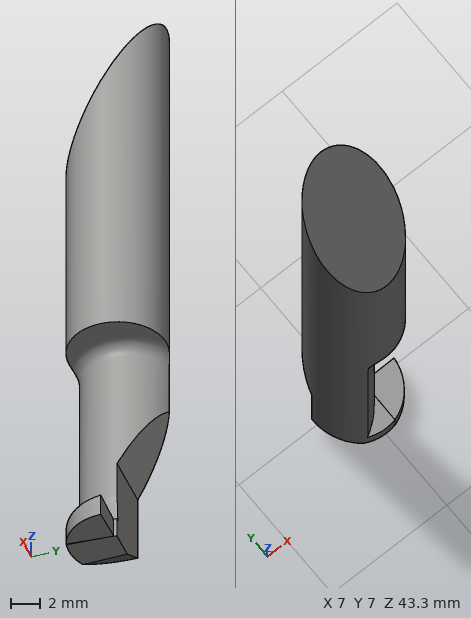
import cadquery as cq
import math

diameter = 7.0
radius = diameter / 2
length = 43.3
bevel_angle = 60.0

neck_top = 16.35
neck_axis_x = -2.75
neck_fillet = 0.9
flat_y = 0.2
flat_top = 6.32

relief_top = 3.55
relief_slope = 0.09
relief_extra_radius = 0.25

foot_top_rear = 1.55
foot_top_front = 1.4
foot_bottom_rear = 0.1
foot_bottom_front = 0.3
corner_height = 1.35
corner_angle = 30.0

joint_x = 0.82
tip_root_top = 1.5
tip_root_bottom = 0.11
tip_edge_top = 1.65
tip_top_clearance = 0.15
tip_bottom_clearance = 0.15
tip_relief = 0.1

margin = 2.15
reach = radius + margin
bevel_slope = math.tan(math.radians(bevel_angle))


def side_prism(points):
    """Prism with a Y-Z profile, wider than the bar along X."""
    return cq.Workplane("YZ").polyline(points).close().extrude(reach, both=True)


def round_bar():
    """Full-length round bar with the bevelled top."""
    bar = cq.Workplane("XY").circle(radius).extrude(length)
    front_height = length - diameter * bevel_slope
    bevel = side_prism([
        (-reach, front_height - margin * bevel_slope),
        (reach, length + margin * bevel_slope),
        (-reach, length + margin * bevel_slope),
    ])
    return bar.cut(bevel)


def neck_clearance():
    """Space around the neck, with a fillet where the neck meets the shoulder."""
    space = (
        cq.Workplane("XY")
        .rect(2 * (reach + diameter), 2 * (reach + diameter))
        .extrude(neck_top)
    )
    wall = cq.Workplane("XY").center(neck_axis_x, 0).circle(radius).extrude(neck_top)
    flare_radius = radius + neck_fillet
    arc_middle = neck_fillet * (1 - math.sqrt(0.5))
    flare = (
        cq.Workplane("XZ")
        .moveTo(0, neck_top - neck_fillet)
        .lineTo(radius, neck_top - neck_fillet)
        .threePointArc((radius + arc_middle, neck_top - arc_middle), (flare_radius, neck_top))
        .lineTo(0, neck_top)
        .close()
        .revolve(360, (0, 0, 0), (0, 1, 0))
        .translate((neck_axis_x, 0, 0))
    )
    return space.cut(wall).cut(flare)


def neck_relief():
    """Space outside a cone, tangent to the neck at its tip, that undercuts the neck above the foot."""
    top_radius = radius + relief_extra_radius
    cone = (
        cq.Workplane("XZ")
        .polyline([
            (0, 0),
            (top_radius - relief_slope * relief_top, 0),
            (top_radius, relief_top),
            (0, relief_top),
        ])
        .close()
        .revolve(360, (0, 0, 0), (0, 1, 0))
        .translate((neck_axis_x - relief_extra_radius, 0, 0))
    )
    space = cq.Workplane("XY").rect(2 * reach, 2 * reach).extrude(relief_top)
    return space.cut(cone)


def foot():
    """Slice of the round bar below the neck, up to the joint with the cutting tip."""
    profile = side_prism([
        (-radius, foot_bottom_front),
        (flat_y, foot_bottom_rear),
        (flat_y, foot_top_rear),
        (-radius, foot_top_front),
    ])
    disc = cq.Workplane("XY").circle(radius).extrude(neck_top)
    beyond_joint = cq.Workplane("XY").box(
        reach, 2 * reach, neck_top, centered=(False, True, False)
    ).translate((joint_x, 0, 0))
    return profile.intersect(disc).cut(beyond_joint)


def rear_cut():
    """Rear ramp leading down to the flat."""
    return side_prism([
        (flat_y, -margin),
        (flat_y, flat_top),
        (reach, flat_top + (reach - flat_y) * bevel_slope),
        (reach, -margin),
    ])


def bottom_cut():
    """Sloping underside of the bar."""
    slope = (foot_bottom_front - foot_bottom_rear) / (radius + flat_y)
    return side_prism([
        (-reach, foot_bottom_front + margin * slope),
        (reach, foot_bottom_rear - (reach - flat_y) * slope),
        (reach, -margin),
        (-reach, -margin),
    ])


def corner_cut():
    """Sloped lower corner on the -X side."""
    slope = math.tan(math.radians(corner_angle))
    return (
        cq.Workplane("XZ")
        .polyline([
            (-reach, corner_height + margin * slope),
            (reach, corner_height - (radius + reach) * slope),
            (-reach, corner_height - (radius + reach) * slope),
        ])
        .close()
        .extrude(reach, both=True)
    )


def make_holder():
    body = round_bar().cut(neck_clearance()).cut(neck_relief()).union(foot())
    return body.cut(rear_cut()).cut(bottom_cut()).cut(corner_cut())


def tip_outline():
    """Plan of the tip: an arc slightly flatter than the bar, from the cutting edge to the joint."""
    joint_angle = -math.acos(joint_x / radius)
    joint_y = radius * math.sin(joint_angle)
    middle_radius = radius - tip_relief
    middle = (
        middle_radius * math.cos(joint_angle / 2),
        middle_radius * math.sin(joint_angle / 2),
    )
    return (
        cq.Workplane("XY")
        .moveTo(joint_x, 0)
        .lineTo(radius, 0)
        .threePointArc(middle, (joint_x, joint_y))
        .close()
        .extrude(neck_top)
    )


def make_cutting_tip():
    """Quarter-round tip that widens toward its outer rear cutting edge."""
    blank = (
        cq.Workplane("XZ")
        .polyline([
            (joint_x, tip_root_bottom),
            (radius, 0),
            (radius, tip_edge_top),
            (joint_x, tip_root_top),
        ])
        .close()
        .workplane(offset=radius)
        .polyline([
            (joint_x, tip_root_bottom + tip_bottom_clearance),
            (radius, tip_bottom_clearance),
            (radius, tip_edge_top - tip_top_clearance),
            (joint_x, tip_root_top - tip_top_clearance),
        ])
        .close()
        .loft(ruled=True)
    )
    return blank.intersect(tip_outline())


holder = make_holder()
cutting_tip = make_cutting_tip()
result = cq.Compound.makeCompound([*holder.solids().vals(), *cutting_tip.solids().vals()])